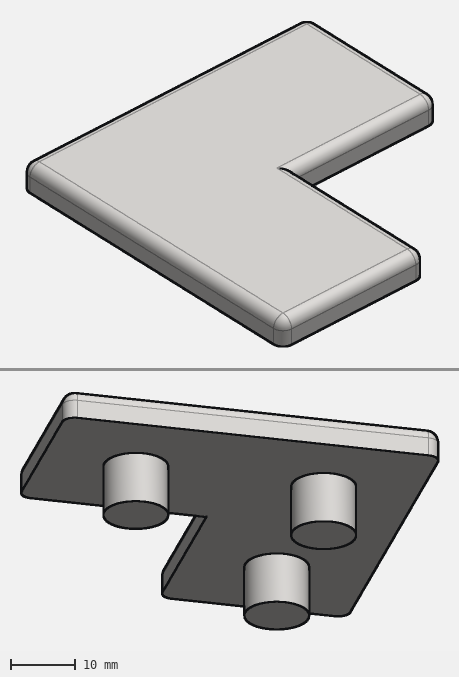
import cadquery as cq

side = 60.0
leg_width = side / 2
plate_thickness = 5.0
edge_radius = 2.0
peg_diameter = 10.1
total_height = 13.25
peg_length = total_height - plate_thickness
peg_overlap = plate_thickness / 2

near = leg_width / 2
far = side - leg_width / 2
peg_centres = [(near, near), (far, near), (near, far)]


def make_plate():
    """L-shaped plate with its underside at Z = 0 and a sharp inner corner."""
    plate = (
        cq.Workplane("XY")
        .polyline([
            (0, 0),
            (side, 0),
            (side, leg_width),
            (leg_width, leg_width),
            (leg_width, side),
            (0, side),
        ])
        .close()
        .extrude(plate_thickness)
    )
    inner_corner = cq.selectors.NearestToPointSelector((leg_width, leg_width, plate_thickness / 2))
    outer_corners = plate.edges("|Z").edges(cq.selectors.InverseSelector(inner_corner))
    return outer_corners.fillet(edge_radius).faces(">Z").edges().fillet(edge_radius)


def make_pegs():
    """Round pegs hanging below the plate."""
    return (
        cq.Workplane("XY", origin=(0, 0, -peg_length))
        .pushPoints(peg_centres)
        .circle(peg_diameter / 2)
        .extrude(peg_length + peg_overlap)
    )


result = make_plate().union(make_pegs())